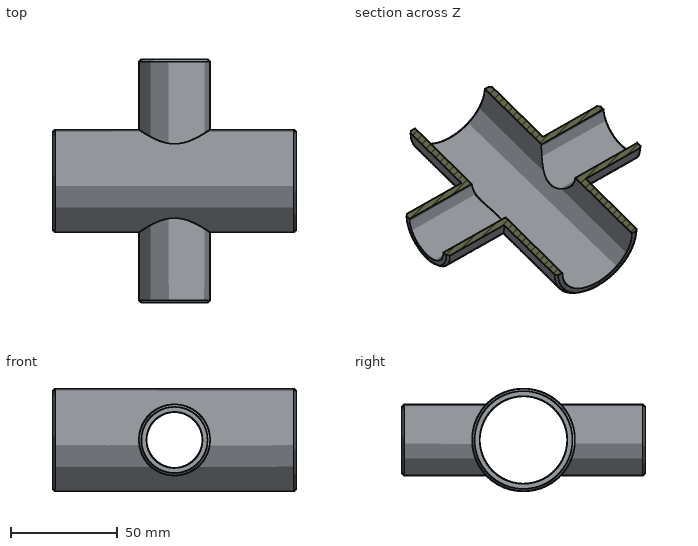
import cadquery as cq

end_to_end = 114.3
run_outer_diameter = 48.26
run_bore_diameter = 40.9
branch_outer_diameter = 33.4
branch_bore_diameter = 26.1
end_chamfer = 1.2


def centred_cylinder(plane, diameter):
    """Cylinder spanning the full end-to-end length, centred on the origin."""
    return cq.Workplane(plane).circle(diameter / 2).extrude(end_to_end / 2, both=True)


def chamfered_bar(plane, diameter, end_faces):
    """Solid bar with the outer edge of both ends chamfered."""
    return centred_cylinder(plane, diameter).faces(end_faces).edges().chamfer(end_chamfer)


run = chamfered_bar("YZ", run_outer_diameter, "|X")
branch = chamfered_bar("XZ", branch_outer_diameter, "|Y")
body = run.union(branch)

run_bore = centred_cylinder("YZ", run_bore_diameter)
branch_bore = centred_cylinder("XZ", branch_bore_diameter)

result = body.cut(run_bore).cut(branch_bore)